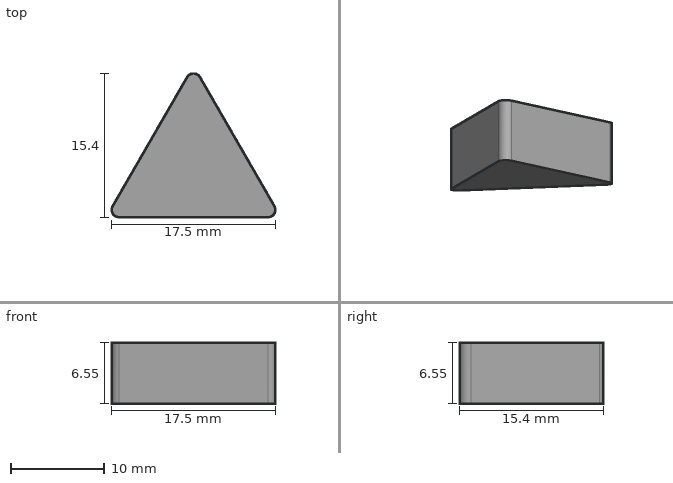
import cadquery as cq
import math

overall_width = 17.53
thickness = 6.55
corner_radius = 0.8

arc_center_spacing = overall_width - 2 * corner_radius

sharp_side = arc_center_spacing + 2 * math.sqrt(3) * corner_radius
inscribed_radius = sharp_side / (2 * math.sqrt(3))
circumscribed_radius = 2 * inscribed_radius

result = (
    cq.Workplane("XY")
    .polyline([
        (-sharp_side / 2, -inscribed_radius),
        (sharp_side / 2, -inscribed_radius),
        (0, circumscribed_radius),
    ])
    .close()
    .extrude(thickness)
    .edges("|Z")
    .fillet(corner_radius)
)